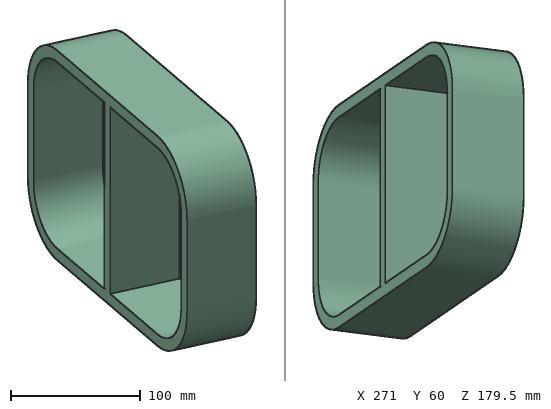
import cadquery as cq

length = 271.0
depth = 60.0
height = 179.5
wall = 10.0
divider = 10.0
corner_radius = 50.0


def rounded_block(size_x, size_z, radius):
    """Centred block with its four corner edges, which run along Y, rounded."""
    return cq.Workplane("XY").box(size_x, depth, size_z).edges("|Y").fillet(radius)


outer = rounded_block(length, height, corner_radius)
opening = rounded_block(length - 2 * wall, height - 2 * wall, corner_radius - wall)
frame = outer.cut(opening)

partition = cq.Workplane("XY").box(divider, depth, height - wall)

result = frame.union(partition)